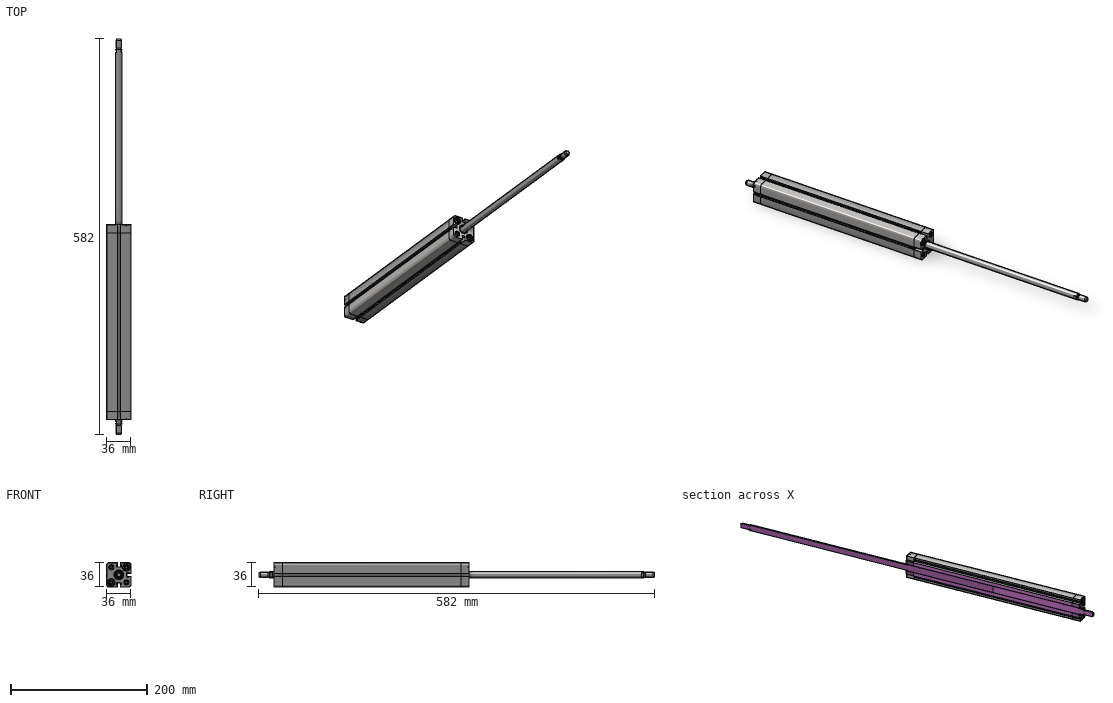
import cadquery as cq

TOTAL_LENGTH = 582.0
HOUSING_SIDE = 36.0
HOUSING_LENGTH = 287.0
CAP_LENGTH = 12.0
CORNER_RADIUS = 4.0
FRONT_OVERHANG = 22.0

HALF_SIDE = HOUSING_SIDE / 2
REAR_TIP = TOTAL_LENGTH / 2
FRONT_TIP = -REAR_TIP
HOUSING_FRONT = FRONT_TIP + FRONT_OVERHANG
HOUSING_REAR = HOUSING_FRONT + HOUSING_LENGTH
HOUSING_MIDDLE = (HOUSING_FRONT + HOUSING_REAR) / 2
BARREL_LENGTH = HOUSING_LENGTH - 2 * CAP_LENGTH
FRONT, REAR = -1, 1

SLOT_MOUTH = 4.5
SLOT_WIDTH = 7.5
SLOT_LIP = 3.5
SLOT_DEPTH = 6.5
SLOT_TURNS = (0, 90, 180)

CORNER_OFFSET = 11.0
HOLE_DIAMETER = 4.15
MOUTH_DEPTH = 2.0
PLAIN_STEPS = [(7.5, MOUTH_DEPTH), (HOLE_DIAMETER, CAP_LENGTH)]
SCREW_STEPS = [(11.0, MOUTH_DEPTH), (7.5, 2 * MOUTH_DEPTH), (HOLE_DIAMETER, CAP_LENGTH)]

GLAND_STEPS = [(14.0, 1.0), (11.5, 2.5)]

PORT_INSET = 7.5
PORT_STEPS = [(5.0, 1.0), (4.15, 5.0)]
SIDE_HOLE_INSET = 6.5
SIDE_HOLE_OFFSET = 8.0
SIDE_HOLE_STEPS = [(3.0, 2.0)]

ROD_DIAMETER = 10.0
THREAD_DIAMETER = 8.0
THREAD_LENGTH = 13.5
TIP_DIAMETER = 6.0
TIP_LENGTH = 2.5
UNDERCUT_DIAMETER = 6.5
UNDERCUT_LENGTH = 2.5
FLATS_WIDTH = 7.5
FLATS_LENGTH = 3.5
FLATS_INSET = 0.5


def stepped_hole(mouth, direction, steps):
    """Concentric cylinders that all start at `mouth` and run along `direction`."""
    hole = cq.Workplane("XY")
    for diameter, depth in steps:
        hole = hole.add(cq.Solid.makeCylinder(diameter / 2, depth, cq.Vector(*mouth), cq.Vector(*direction)))
    return hole.combine()


def bar_along_y(start, length, width, bottom, top):
    bar = cq.Workplane("XY").box(width, length, top - bottom, centered=(True, False, False))
    return bar.translate((0, start, bottom))


def top_slot(start, length, undercut):
    """Slot in the top side, with the wider T pocket if `undercut` is true."""
    floor = HALF_SIDE - SLOT_DEPTH
    slot = bar_along_y(start, length, SLOT_MOUTH, floor, HALF_SIDE)
    if undercut:
        slot = slot.union(bar_along_y(start, length, SLOT_WIDTH, floor, HALF_SIDE - SLOT_LIP))
    return slot


def housing_segment(start, length, undercut):
    """Rounded square bar with the sensor slots and the bore for the rods."""
    segment = bar_along_y(start, length, HOUSING_SIDE, -HALF_SIDE, HALF_SIDE)
    segment = segment.edges("|Y").fillet(CORNER_RADIUS)
    slot = top_slot(start, length, undercut)
    for turn in SLOT_TURNS:
        segment = segment.cut(slot.rotate((0, 0, 0), (0, 1, 0), turn))
    return segment.cut(stepped_hole((0, start, 0), (0, 1, 0), [(ROD_DIAMETER, length)]))


def make_barrel():
    return housing_segment(HOUSING_FRONT + CAP_LENGTH, BARREL_LENGTH, undercut=True)


def make_cap(side):
    """End cap whose outer face looks toward `side`."""
    if side == FRONT:
        outer_face = HOUSING_FRONT
        start = HOUSING_FRONT
    else:
        outer_face = HOUSING_REAR
        start = HOUSING_REAR - CAP_LENGTH
    cap = housing_segment(start, CAP_LENGTH, undercut=side == FRONT)

    inward = (0, -side, 0)
    cap = cap.cut(stepped_hole((0, outer_face, 0), inward, GLAND_STEPS))
    for sign in (-1, 1):
        x = sign * CORNER_OFFSET
        cap = cap.cut(stepped_hole((x, outer_face, -x), inward, PLAIN_STEPS))
        cap = cap.cut(stepped_hole((x, outer_face, x), inward, SCREW_STEPS))

    port_y = outer_face - side * PORT_INSET
    side_hole_y = outer_face - side * SIDE_HOLE_INSET
    cap = cap.cut(stepped_hole((-HALF_SIDE, port_y, 0), (1, 0, 0), PORT_STEPS))
    for z in (-SIDE_HOLE_OFFSET, SIDE_HOLE_OFFSET):
        cap = cap.cut(stepped_hole((-HALF_SIDE, side_hole_y, z), (1, 0, 0), SIDE_HOLE_STEPS))
    return cap


def make_rod(side):
    """Rod from the middle of the housing to the tip on `side`, flats facing +X and -X."""
    thread_start = REAR_TIP - THREAD_LENGTH
    shank_end = thread_start - UNDERCUT_LENGTH
    inner_end = side * HOUSING_MIDDLE
    profile = [
        (0, inner_end),
        (ROD_DIAMETER / 2, inner_end),
        (ROD_DIAMETER / 2, shank_end),
        (UNDERCUT_DIAMETER / 2, shank_end),
        (UNDERCUT_DIAMETER / 2, thread_start),
        (THREAD_DIAMETER / 2, thread_start),
        (THREAD_DIAMETER / 2, REAR_TIP - TIP_LENGTH),
        (TIP_DIAMETER / 2, REAR_TIP),
        (0, REAR_TIP),
    ]
    rod = cq.Workplane("XY").polyline(profile).close().revolve(360, (0, 0, 0), (0, 1, 0))

    flats_start = shank_end - FLATS_INSET - FLATS_LENGTH
    blank = bar_along_y(flats_start, FLATS_LENGTH, 2 * ROD_DIAMETER, -ROD_DIAMETER, ROD_DIAMETER)
    tongue = bar_along_y(flats_start, FLATS_LENGTH, FLATS_WIDTH, -ROD_DIAMETER, ROD_DIAMETER)
    rod = rod.cut(blank.cut(tongue))
    return rod if side == REAR else rod.mirror("XZ")


barrel = make_barrel()
caps = [make_cap(side) for side in (FRONT, REAR)]
rods = [make_rod(side) for side in (FRONT, REAR)]

result = cq.Compound.makeCompound([barrel.val(), *[body.val() for body in caps + rods]])